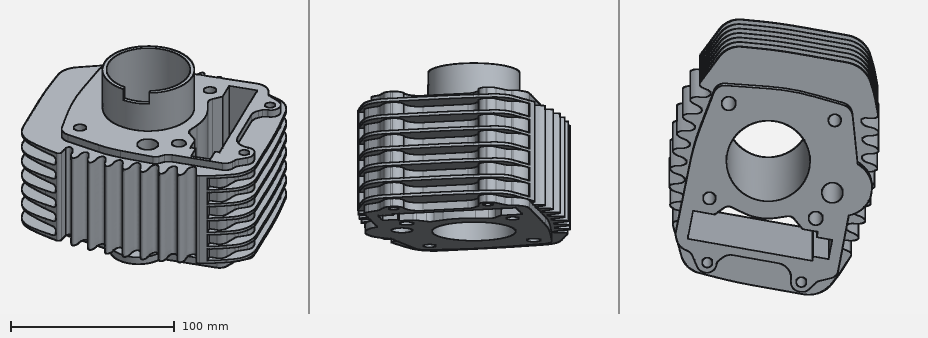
import cadquery as cq
import math


base_thickness = 5.0
body_height = 62.2
deck_thickness = 5.0
sleeve_height = 27.0
body_top = base_thickness + body_height
deck_top = body_top + deck_thickness
total_height = deck_top + sleeve_height

bore_radius = 25.5
sleeve_radius = 28.1
notch_width = 16.3
notch_centre_x = 0.6
notch_depth = 7.8

body_centre_x = 6.0
body_half_length = 74.7

rib_centre_x = 5.5
rib_row_length = 79.2
rib_count = 7
rib_pitch = rib_row_length / rib_count
valley_count = rib_count + 1
tip_half_width = 1.8
tip_drop = 1.8
valley_half_width = 2.1
valley_rise = 1.8
back_tip_y, back_tip_arc = 58.3, 128.5
back_valley_y, back_valley_arc = 48.7, 119.5
front_tip_y, front_tip_arc = -67.1, 156.9
front_valley_y, front_valley_arc = -57.1, 140.5

body_width_limit = 149.5
gap_count = 6
right_fin_thickness = 2.0
gap_pitch = (body_height - right_fin_thickness) / gap_count
left_gap_root_x = -40.2
left_gap_root_height = 6.0
left_gap_mouth_x = -69.5
left_gap_mouth_height = 9.9
left_gap_root_radius = 2.4
right_gap_start_x = 56.0
right_gap_reach = 29.9
right_gap_height = gap_pitch - right_fin_thickness

stud_holes = [(-31.5, 30.3, 4.3), (29.7, 31.1, 3.9), (-32.7, -35.3, 3.9), (30.5, -35.1, 4.3)]
ear_holes = [(70.1, 25.0, 3.1), (71.9, -33.8, 3.1)]
oil_hole = (12.7, -42.1, 6.5)


end_wall = [
    (44.0, 50.7, 2.2),
    (72.2, 37.4, 15.0),
    (body_half_length, 6.0, 298.9),
    (body_half_length, -47.8, 18.0),
    (57.5, -56.3, 74.7),
    (43.6, -61.5, 2.0),
]

shared_edges = [
    (-42.7, -44.0, 8.2),
    (-46.8, -6.0, 134.5),
    (-41.8, 39.6, 6.9),
    (-2.1, 46.5, 134.5),
    (62.8, 47.4, 10.5),
    (65.5, 36.0, 6.0),
    (76.5, 28.8, 6.0),
    (76.5, 19.1, 6.0),
    (68.5, 19.1, 4.5),
    (62.6, 13.9, 7.5),
    (62.6, -27.3, 9.7),
    (78.0, -27.3, 6.0),
    (78.0, -37.5, 6.0),
    (69.6, -43.3, 4.5),
]
deck_front_edge = [
    (66.6, -49.9, 6.0),
    (27.8, -49.6, 6.0),
    (22.1, -55.3, 4.5),
    (-8.4, -53.8, 64.3),
]
base_front_edge = [
    (64.5, -54.7, 6.0),
    (-5.5, -54.7, 15.0),
]
deck_outline = shared_edges + deck_front_edge
base_outline = shared_edges + base_front_edge

base_lobe = (8.7, -48.1, 17.6)

chain_passage = [
    (39.3, 39.5, 0),
    (57.4, 39.5, 0),
    (57.4, -38.0, 0),
    (54.5, -38.0, 0),
    (54.5, -47.5, 0),
    (42.1, -47.5, 0),
    (42.1, -38.0, 0),
    (38.7, -38.0, 0),
    (38.7, -28.4, 3.0),
    (31.5, -20.2, 4.5),
    (38.3, -1.5, 32.9),
    (32.1, 19.3, 4.5),
    (39.3, 26.0, 0),
]


def trace_corner(sketch, before, corner, after):
    """Draw up to a corner and round it with an arc tangent to both of its sides."""
    x, y, radius = corner
    if radius == 0:
        return sketch.lineTo(x, y)
    vertex = cq.Vector(x, y)
    arriving = (vertex - cq.Vector(*before[:2])).normalized()
    leaving = (cq.Vector(*after[:2]) - vertex).normalized()
    half_turn = arriving.getAngle(leaving) / 2
    trim = radius * math.tan(half_turn)
    start = vertex - arriving * trim
    end = vertex + leaving * trim
    middle = vertex + (leaving - arriving).normalized() * (radius / math.cos(half_turn) - radius)
    return sketch.lineTo(start.x, start.y).threePointArc((middle.x, middle.y), (end.x, end.y))


def prism(corners, bottom, height):
    """Extrude a closed outline given by its corners."""
    last, first = corners[-1], corners[0]
    seam = ((last[0] + first[0]) / 2, (last[1] + first[1]) / 2)
    sketch = cq.Workplane("XY", origin=(0, 0, bottom)).moveTo(*seam)
    path = [seam] + corners + [seam]
    for before, corner, after in zip(path, path[1:], path[2:]):
        sketch = trace_corner(sketch, before, corner, after)
    return sketch.close().extrude(height)


def on_arc(x, crown_y, radius, outward):
    """Y on a shallow arc that peaks at crown_y on the rib centre line."""
    return crown_y - outward * (radius - math.sqrt(radius**2 - (x - rib_centre_x) ** 2))


def rib_row(tip_y, tip_arc, valley_y, valley_arc, outward):
    """Points of a smooth wave of valleys and tips, clockwise along the +Y (1) or -Y (-1) side."""
    points = []

    def add_turn(x, y, half_width, shoulder_y):
        points.append((x - outward * half_width, shoulder_y))
        points.append((x, y))
        points.append((x + outward * half_width, shoulder_y))

    for index in range(valley_count):
        x = rib_centre_x + outward * (index - rib_count / 2) * rib_pitch
        y = on_arc(x, valley_y, valley_arc, outward)
        add_turn(x, y, valley_half_width, y + outward * valley_rise)
        if index < rib_count:
            x += outward * rib_pitch / 2
            y = on_arc(x, tip_y, tip_arc, outward)
            add_turn(x, y, tip_half_width, y - outward * tip_drop)
    return points


def finned_body():
    back_row = rib_row(back_tip_y, back_tip_arc, back_valley_y, back_valley_arc, 1)
    front_row = rib_row(front_tip_y, front_tip_arc, front_valley_y, front_valley_arc, -1)
    right_wall = [(body_centre_x + x, y, radius) for x, y, radius in end_wall]
    left_wall = [(body_centre_x - x, y, radius) for x, y, radius in reversed(end_wall)]
    sketch = cq.Workplane("XY", origin=(0, 0, base_thickness)).moveTo(*back_row[0])
    for row, wall, next_row in [(back_row, right_wall, front_row), (front_row, left_wall, back_row)]:
        sketch = sketch.spline(row[1:], includeCurrent=True)
        path = [row[-1]] + wall + [next_row[0]]
        for before, corner, after in zip(path, path[1:], path[2:]):
            sketch = trace_corner(sketch, before, corner, after)
        sketch = sketch.lineTo(*next_row[0])
    return sketch.close().extrude(body_height)


def gap_heights():
    middle = base_thickness + body_height / 2
    return [middle + (index - (gap_count - 1) / 2) * gap_pitch for index in range(gap_count)]


def left_gap(z):
    """Tapered gap with a rounded root, running the full width of the body."""
    return (
        cq.Workplane("XZ", origin=(0, 0, z))
        .moveTo(left_gap_mouth_x, left_gap_mouth_height / 2)
        .lineTo(left_gap_root_x, left_gap_root_height / 2)
        .lineTo(left_gap_root_x, -left_gap_root_height / 2)
        .lineTo(left_gap_mouth_x, -left_gap_mouth_height / 2)
        .close()
        .extrude(body_width_limit / 2, both=True)
        .edges("|Y and >X")
        .fillet(left_gap_root_radius)
    )


def right_gap(z):
    """Straight gap that leaves a wall shaped like the base edge."""
    bottom = z - right_gap_height / 2
    slab = cq.Workplane("XY", origin=(right_gap_start_x, 0, z)).box(
        right_gap_reach, body_width_limit, right_gap_height, centered=(False, True, True)
    )
    return slab.cut(prism(base_outline, bottom, right_gap_height))


def cylinder(x, y, radius, height=total_height):
    """Cylinder standing on the base face."""
    return cq.Workplane("XY").center(x, y).circle(radius).extrude(height)


def notch():
    return (
        cq.Workplane("XY", origin=(notch_centre_x, -sleeve_radius, total_height - notch_depth))
        .rect(notch_width, sleeve_radius)
        .extrude(notch_depth)
    )


part = finned_body()
for gap_z in gap_heights():
    part = part.cut(left_gap(gap_z)).cut(right_gap(gap_z))

part = part.union(prism(base_outline, 0, base_thickness))
part = part.union(cylinder(*base_lobe, base_thickness))
part = part.union(prism(deck_outline, body_top, deck_thickness))
part = part.union(cylinder(0, 0, sleeve_radius))

part = part.cut(cylinder(0, 0, bore_radius)).cut(notch())
part = part.cut(prism(chain_passage, 0, deck_top))
for opening in stud_holes + ear_holes + [oil_hole]:
    part = part.cut(cylinder(*opening))

result = part